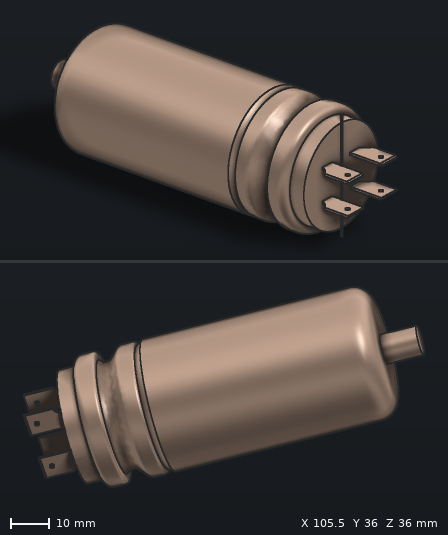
import cadquery as cq
import math

total_length = 105.5

stud_radius = 4.0
stud_length = 9.9

can_radius = 17.99
can_edge_radius = 5.1

shoulder_start = 71.3
groove_radius = 16.7
bead_start = 73.2
bead_edge_radius = 1.0
bead_end = 76.7

neck_slope_middle = 79.3
neck_slope_radius = 16.1
neck_root = 82.6
neck_radius = 14.6
neck_end_radius = 15.4

rim_start = 84.1
rim_end = 90.1
rim_front_radius = 1.0
rim_back_radius = 2.2

disc_radius = 15.4
disc_end = 94.8

strip_thickness = 0.5
strip_width = 0.3
strip_length = 35.2

terminal_thickness = 0.7
terminal_level = 5.0
terminal_inner = 3.7
terminal_width = 6.4
terminal_root_width = 4.0
terminal_scallop_length = 2.7
terminal_scallop_depth = 0.4
terminal_tip_bevel = 0.4
terminal_hole_diameter = 1.3
terminal_hole_from_tip = 2.7


def arc_point(center, radius, angle):
    """Point on a circle, with the angle in radians."""
    return (center[0] + radius * math.cos(angle), center[1] + radius * math.sin(angle))


def quarter_middle(center, radius, side):
    """Middle of an outward quarter round; side is -1 toward the stud, +1 toward the terminals."""
    return arc_point(center, radius, math.pi / 2 - side * math.pi / 4)


def make_can():
    """Revolved stud, can, bead, crimp neck, rim and end disc."""
    can_edge = (stud_length + can_edge_radius, can_radius - can_edge_radius)
    bead_edge = (bead_start + bead_edge_radius, can_radius - bead_edge_radius)
    rim_front = (rim_start + rim_front_radius, can_radius - rim_front_radius)
    rim_back = (rim_end - rim_back_radius, can_radius - rim_back_radius)

    neck_curve = [
        (neck_slope_middle, neck_slope_radius),
        (neck_root, neck_radius),
        (rim_start, neck_end_radius),
    ]

    profile = (
        cq.Workplane("XY")
        .moveTo(0, 0)
        .lineTo(0, stud_radius)
        .lineTo(stud_length, stud_radius)
        .lineTo(stud_length, can_edge[1])
        .threePointArc(quarter_middle(can_edge, can_edge_radius, -1), (can_edge[0], can_radius))
        .lineTo(shoulder_start, can_radius)
        .lineTo(bead_start, groove_radius)
        .lineTo(bead_start, bead_edge[1])
        .threePointArc(quarter_middle(bead_edge, bead_edge_radius, -1), (bead_edge[0], can_radius))
        .lineTo(bead_end, can_radius)
        .spline(neck_curve, tangents=[(1, 0), (1, 1)], includeCurrent=True)
        .lineTo(rim_start, rim_front[1])
        .threePointArc(quarter_middle(rim_front, rim_front_radius, -1), (rim_front[0], can_radius))
        .lineTo(rim_back[0], can_radius)
        .threePointArc(quarter_middle(rim_back, rim_back_radius, 1), (rim_end, rim_back[1]))
        .lineTo(rim_end, disc_radius)
        .lineTo(disc_end, disc_radius)
        .lineTo(disc_end, 0)
        .close()
    )
    return profile.revolve(360, (0, 0, 0), (1, 0, 0))


def make_strip():
    """Thin upright strip lying across the end disc."""
    return (
        cq.Workplane("XY")
        .box(strip_thickness, strip_width, strip_length, centered=(False, True, True))
        .translate((disc_end, 0, 0))
    )


def make_terminal():
    """Terminal on the +Y, +Z side, scalloped at its outer root and bevelled on top of its tip."""
    outer = terminal_inner + terminal_width
    root = terminal_inner + terminal_root_width
    scallop_end = disc_end + terminal_scallop_length
    chord_middle = ((disc_end + scallop_end) / 2, (root + outer) / 2)
    scallop_middle = arc_point(chord_middle, terminal_scallop_depth, -math.pi / 4)
    hole_center = (total_length - terminal_hole_from_tip, terminal_inner + terminal_width / 2)
    blade = (
        cq.Workplane("XY")
        .workplane(offset=terminal_level - terminal_thickness / 2)
        .moveTo(disc_end, terminal_inner)
        .lineTo(total_length, terminal_inner)
        .lineTo(total_length, outer)
        .lineTo(scallop_end, outer)
        .threePointArc(scallop_middle, (disc_end, root))
        .close()
        .extrude(terminal_thickness)
        .faces(">X")
        .edges(">Z")
        .chamfer(terminal_tip_bevel)
    )
    hole = (
        cq.Workplane("XY")
        .center(*hole_center)
        .circle(terminal_hole_diameter / 2)
        .extrude(terminal_level + terminal_thickness)
    )
    return blade.cut(hole)


result = make_can().union(make_strip())
upper_terminal = make_terminal()
upper_pair = upper_terminal.union(upper_terminal.mirror("XZ"))
result = result.union(upper_pair).union(upper_pair.mirror("XY"))